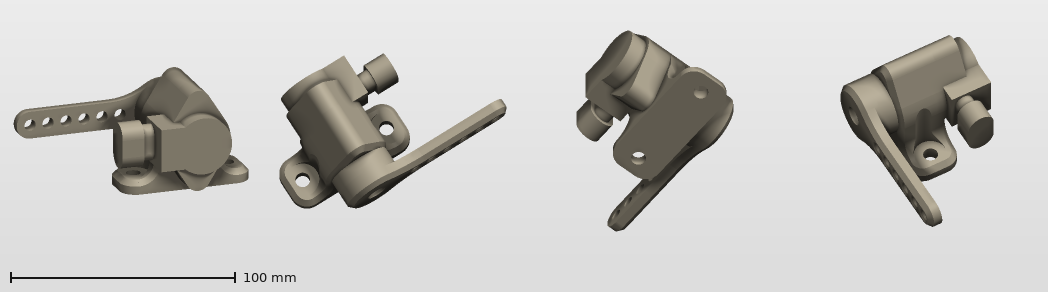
import cadquery as cq
import math

shaft_height = 26.7

lever_arm_thickness = 6.2
lever_hub_end = 8.3
housing_front = 14.9
housing_back = 38.9
flange_back = 51.2
sensor_back = 59.0

hub_radius = 14.2
arm_half_width = 6.3
arm_length = 63.5
taper_end = 25.4
lever_chamfer = 2.1
screw_recess_radius = 4.5
screw_recess_depth = 5.1
screw_hole_radius = 2.8
link_hole_count = 6
link_hole_pitch = 8.5
link_hole_radius = 2.6
link_hole_chamfer = 0.7

slope_angle = 32.4
slope_distance = 15.3
crest_top = 23.6
slope_normal_y = math.cos(math.radians(slope_angle))
slope_normal_z = math.sin(math.radians(slope_angle))
crest_radius = (slope_distance - crest_top * slope_normal_z) / (1 - slope_normal_z)
crest_center = crest_top - crest_radius
crest_tangent_y = crest_radius * slope_normal_y
crest_tangent_z = crest_center + crest_radius * slope_normal_z

housing_width = housing_back - housing_front
housing_middle = (housing_front + housing_back) / 2
wall_half_width = 15.8
shoulder_radius = 20.5
base_length = 60.4
base_thickness = 6.3
foot_radius = 7.5
base_corner_radius = 7.5
housing_chamfer = 2.4
mount_hole_offset = 22.1
mount_hole_radius = 3.3
spotface_radius = 7.5

sensor_radius = 13.2
connector_half_height = 9.9
connector_reach = 20.1
plug_center_x = (housing_back + flange_back) / 2
neck_width = 8.6
neck_height = 16.8
neck_end = 25.5
plug_width = 12.8
plug_height = 21.1
plug_end = 35.8


def shaft_plane(x):
    """Plane across the shaft at x: local x is Y, local y is the height above the shaft axis."""
    return cq.Workplane("YZ", origin=(x, 0, shaft_height))


def mirrored(point):
    """Point on the other side of the plane Y = 0."""
    return (-point[0], point[1])


def lever_outline():
    """Round hub that narrows through two tangent concave arcs into a round-ended arm."""
    taper_radius = (taper_end**2 + arm_half_width**2 - hub_radius**2) / (2 * (hub_radius - arm_half_width))
    arc_center_height = arm_half_width + taper_radius
    taper_angle = math.atan2(taper_end, arc_center_height)
    hub_y = -hub_radius * math.sin(taper_angle)
    hub_z = hub_radius * math.cos(taper_angle)
    middle_y = -taper_end + taper_radius * math.sin(taper_angle / 2)
    middle_z = arc_center_height - taper_radius * math.cos(taper_angle / 2)
    return (
        shaft_plane(0)
        .moveTo(hub_y, hub_z)
        .threePointArc((middle_y, middle_z), (-taper_end, arm_half_width))
        .lineTo(-arm_length, arm_half_width)
        .threePointArc((-arm_length - arm_half_width, 0), (-arm_length, -arm_half_width))
        .lineTo(-taper_end, -arm_half_width)
        .threePointArc((middle_y, -middle_z), (hub_y, -hub_z))
        .threePointArc((hub_radius, 0), (hub_y, hub_z))
        .close()
    )


def make_lever():
    lever = lever_outline().extrude(lever_arm_thickness)
    lever = lever.faces("<X").chamfer(lever_chamfer)
    hub = shaft_plane(lever_chamfer).circle(hub_radius).extrude(lever_hub_end - lever_chamfer)
    lever = lever.union(hub)

    lever = lever.cut(shaft_plane(0).circle(screw_recess_radius).extrude(screw_recess_depth))
    lever = lever.cut(shaft_plane(0).circle(screw_hole_radius).extrude(lever_hub_end))

    for index in range(link_hole_count):
        hole_y = -arm_length + index * link_hole_pitch
        hole = shaft_plane(0).center(hole_y, 0).circle(link_hole_radius).extrude(lever_arm_thickness)
        countersink = (
            shaft_plane(0)
            .center(hole_y, 0)
            .circle(link_hole_radius + link_hole_chamfer)
            .extrude(link_hole_chamfer, taper=45)
        )
        lever = lever.cut(hole).cut(countersink)
    return lever


def make_collar():
    """Round collar between the lever hub and the housing."""
    return shaft_plane(lever_hub_end).circle(hub_radius).extrude(housing_front - lever_hub_end)


def housing_profile():
    """Pointed crest, round shoulders, upright walls and concave feet running out onto the base."""
    shoulder_y = wall_half_width - shoulder_radius
    shoulder_z = (slope_distance - shoulder_radius - shoulder_y * slope_normal_y) / slope_normal_z
    half_angle = math.radians(slope_angle / 2)
    slope_end = (shoulder_y + shoulder_radius * slope_normal_y, shoulder_z + shoulder_radius * slope_normal_z)
    shoulder_middle = (
        shoulder_y + shoulder_radius * math.cos(half_angle),
        shoulder_z + shoulder_radius * math.sin(half_angle),
    )
    wall_top = (wall_half_width, shoulder_z)

    base_top = base_thickness - shaft_height
    foot_y = wall_half_width + foot_radius
    foot_z = base_top + foot_radius
    foot_middle = (foot_y - foot_radius * math.sqrt(0.5), foot_z - foot_radius * math.sqrt(0.5))
    wall_bottom = (wall_half_width, foot_z)
    foot_end = (foot_y, base_top)
    base_corner = (foot_y, -shaft_height)
    crest_side = (crest_tangent_y, crest_tangent_z)
    return (
        shaft_plane(housing_front)
        .moveTo(*mirrored(crest_side))
        .threePointArc((0, crest_top), crest_side)
        .lineTo(*slope_end)
        .threePointArc(shoulder_middle, wall_top)
        .lineTo(*wall_bottom)
        .threePointArc(foot_middle, foot_end)
        .lineTo(*base_corner)
        .lineTo(*mirrored(base_corner))
        .lineTo(*mirrored(foot_end))
        .threePointArc(mirrored(foot_middle), mirrored(wall_bottom))
        .lineTo(*mirrored(wall_top))
        .threePointArc(mirrored(shoulder_middle), mirrored(slope_end))
        .close()
    )


def base_block(height):
    """Block with the rounded base outline, standing on Z = 0."""
    block = cq.Workplane("XY").box(housing_width, base_length, height, centered=(True, True, False))
    return block.translate((housing_middle, 0, 0)).edges("|Z").fillet(base_corner_radius)


def foot_bevel(side):
    """Cone around the foot arc that bevels the foot at the back face; side is +1 or -1."""
    return (
        cq.Workplane("YZ", origin=(housing_back, 0, 0))
        .center(side * (wall_half_width + foot_radius), base_thickness + foot_radius)
        .circle(foot_radius + housing_chamfer)
        .workplane(offset=-housing_chamfer)
        .circle(foot_radius)
        .loft()
    )


def make_housing():
    full_height = shaft_height + crest_top
    body = housing_profile().extrude(housing_width)

    outline = body.faces("<X").edges().filter(lambda edge: edge.Center().z > base_thickness)
    body = body.newObject(outline.vals()).chamfer(housing_chamfer)
    for side in (-1, 1):
        body = body.cut(foot_bevel(side))
    body = body.intersect(base_block(full_height))

    base = base_block(base_thickness).faces(">Z").chamfer(housing_chamfer)
    housing = body.union(base)

    for side in (-1, 1):
        center = (housing_middle, side * mount_hole_offset)
        spotface = cq.Workplane("XY", origin=(0, 0, base_thickness)).center(*center).circle(spotface_radius)
        hole = cq.Workplane("XY").center(*center).circle(mount_hole_radius)
        housing = housing.cut(spotface.extrude(full_height)).cut(hole.extrude(full_height))
    return housing


def flange_outline():
    """Round middle with a tangent, round-tipped point above and below."""
    middle_y = slope_distance * slope_normal_y
    middle_z = slope_distance * slope_normal_z
    return (
        shaft_plane(housing_back)
        .moveTo(-crest_tangent_y, crest_tangent_z)
        .threePointArc((0, crest_top), (crest_tangent_y, crest_tangent_z))
        .lineTo(middle_y, middle_z)
        .threePointArc((slope_distance, 0), (middle_y, -middle_z))
        .lineTo(crest_tangent_y, -crest_tangent_z)
        .threePointArc((0, -crest_top), (-crest_tangent_y, -crest_tangent_z))
        .lineTo(-middle_y, -middle_z)
        .threePointArc((-slope_distance, 0), (-middle_y, middle_z))
        .close()
    )


def plug_section(width, height, start, end):
    """Upright slot-shaped bar reaching towards -Y, from Y = -start to Y = -end."""
    plane = cq.Workplane("XZ", origin=(plug_center_x, -start, shaft_height))
    return plane.slot2D(height, width, 90).extrude(end - start)


def make_sensor():
    flange = flange_outline().extrude(flange_back - housing_back)
    barrel = shaft_plane(housing_back).circle(sensor_radius).extrude(sensor_back - housing_back)
    connector = cq.Workplane("XY").box(
        sensor_back - housing_back, connector_reach, 2 * connector_half_height, centered=(False, False, True)
    )
    connector = connector.translate((housing_back, -connector_reach, shaft_height))
    neck = plug_section(neck_width, neck_height, connector_reach, neck_end)
    plug = plug_section(plug_width, plug_height, neck_end, plug_end)
    return flange.union(barrel).union(connector).union(neck).union(plug)


lever = make_lever()
collar = make_collar()
housing = make_housing()
sensor = make_sensor()

result = cq.Compound.makeCompound([lever.val(), collar.val(), housing.val(), sensor.val()])